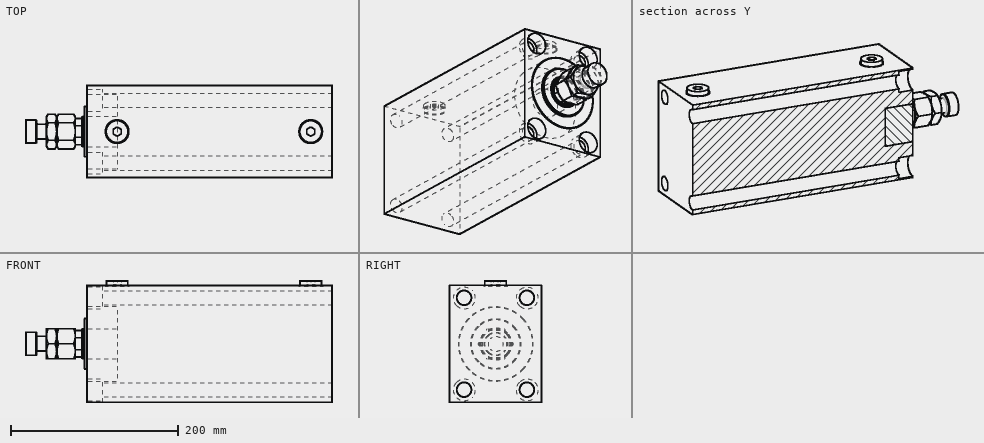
import cadquery as cq
import math


TOTAL_LENGTH = 366.0
FACE_X = 73.0
BLOCK_WIDTH = 110.0
BLOCK_HEIGHT = 139.8
TOP_EDGE_CHAMFER = 0.5

BOLT_SPACING_Y = 75.0
BOLT_SPACING_Z = 109.8
BOLT_HOLE_DIAMETER = 17.2
COUNTERBORE_DIAMETER = 26.0
COUNTERBORE_DEPTH = 18.3

GLAND_DIAMETER = 89.3
GLAND_DEPTH = 36.5
GLAND_EDGE_CHAMFER = 0.7
COLLAR_DIAMETER = 60.5
COLLAR_HEIGHT = 3.3
COLLAR_CHAMFER = 1.0
ROD_HOLE_CHAMFER = 1.0

ROD_DIAMETER = 36.2
ROD_FRONT_X = 59.3
FLATS_LENGTH = 7.7
FLATS_WIDTH = 32.0
FLATS_CORNER_DIAMETER = 34.8
SHOULDER_LENGTH = 1.5

HEAD_DIAMETER = 27.8
HEAD_LENGTH = 12.8
HEAD_CHAMFER = 0.7
NECK_DIAMETER = 18.0
NECK_FILLET = 1.0
HEX_FRONT_X = 24.5
HEX_GROOVE_X = 37.0
HEX_WIDTH = 36.2
HEX_END_DIAMETER = 35.5
HEX_CHAMFER_LENGTH = 2.2

PLUG_DIAMETER = 26.0
PLUG_HEIGHT = 5.0
PLUG_OFFSETS = (36.2, 267.5)
SPOTFACE_DIAMETER = 28.0
SPOTFACE_DEPTH = 1.0
SOCKET_WIDTH = 9.5
SOCKET_DEPTH = 3.5

HEX_POINTS = 6
TOP_Z = BLOCK_HEIGHT / 2


def across_corners(width_across_flats):
    return width_across_flats / math.cos(math.pi / HEX_POINTS)


def rod_axis_plane(x):
    """Plane across the rod axis at x: local x is +Y, local y is +Z, extrusion goes +X."""
    return cq.Workplane("YZ", origin=(x, 0, 0))


def cylinder(x_start, x_end, diameter):
    return rod_axis_plane(x_start).circle(diameter / 2).extrude(x_end - x_start)


def top_plane(offset, z):
    """Horizontal plane at height z, centred above the rod axis behind the front face."""
    return cq.Workplane("XY", origin=(FACE_X + offset, 0, z))


def make_housing():
    block = (
        rod_axis_plane(FACE_X)
        .rect(BLOCK_WIDTH, BLOCK_HEIGHT)
        .extrude(TOTAL_LENGTH - FACE_X)
        .faces(">Z").edges("|X").chamfer(TOP_EDGE_CHAMFER)
    )
    bolt_holes = (
        rod_axis_plane(FACE_X)
        .rect(BOLT_SPACING_Y, BOLT_SPACING_Z, forConstruction=True)
        .vertices()
    )
    through_holes = bolt_holes.circle(BOLT_HOLE_DIAMETER / 2).extrude(TOTAL_LENGTH - FACE_X)
    counterbores = bolt_holes.circle(COUNTERBORE_DIAMETER / 2).extrude(COUNTERBORE_DEPTH)
    gland_recess = cylinder(FACE_X, FACE_X + GLAND_DEPTH, GLAND_DIAMETER)
    housing = block.cut(through_holes).cut(counterbores).cut(gland_recess)
    for offset in PLUG_OFFSETS:
        spotface = (
            top_plane(offset, TOP_Z)
            .circle(SPOTFACE_DIAMETER / 2)
            .extrude(-SPOTFACE_DEPTH)
        )
        housing = housing.cut(spotface)
    return housing


def make_gland():
    disk = cylinder(FACE_X, FACE_X + GLAND_DEPTH, GLAND_DIAMETER)
    disk = disk.faces("<X").edges().chamfer(GLAND_EDGE_CHAMFER)
    collar = cylinder(FACE_X - COLLAR_HEIGHT, FACE_X, COLLAR_DIAMETER)
    collar = collar.faces("<X").edges().chamfer(COLLAR_CHAMFER)
    rod_hole = cylinder(FACE_X - COLLAR_HEIGHT, FACE_X + GLAND_DEPTH, ROD_DIAMETER)
    gland = disk.union(collar).cut(rod_hole)
    rod_hole_edge = gland.faces("<X").edges(cq.selectors.RadiusNthSelector(0))
    return rod_hole_edge.chamfer(ROD_HOLE_CHAMFER)


def make_rod():
    shoulder_x = ROD_FRONT_X + FLATS_LENGTH
    square = rod_axis_plane(ROD_FRONT_X).rect(FLATS_WIDTH, FLATS_WIDTH).extrude(FLATS_LENGTH)
    front_end = square.intersect(cylinder(ROD_FRONT_X, shoulder_x, FLATS_CORNER_DIAMETER))
    shoulder_rise = (ROD_DIAMETER - FLATS_CORNER_DIAMETER) / 2
    shank = cylinder(shoulder_x, FACE_X + GLAND_DEPTH, ROD_DIAMETER)
    shank = shank.faces("<X").edges().chamfer(SHOULDER_LENGTH, shoulder_rise)
    return front_end.union(shank)


def make_hexagon(x_start, x_end):
    """Hexagon with flats facing +Z and -Z, its corners chamfered at both ends."""
    corner_diameter = across_corners(HEX_WIDTH)
    prism = rod_axis_plane(x_start).polygon(HEX_POINTS, corner_diameter).extrude(x_end - x_start)
    end_radius = HEX_END_DIAMETER / 2
    corner_radius = corner_diameter / 2
    chamfered_envelope = (
        cq.Workplane("XY")
        .moveTo(x_start, 0)
        .lineTo(x_start, end_radius)
        .lineTo(x_start + HEX_CHAMFER_LENGTH, corner_radius)
        .lineTo(x_end - HEX_CHAMFER_LENGTH, corner_radius)
        .lineTo(x_end, end_radius)
        .lineTo(x_end, 0)
        .close()
        .revolve(360, (0, 0, 0), (1, 0, 0))
    )
    return prism.intersect(chamfered_envelope)


def make_coupling():
    head = cylinder(0, HEAD_LENGTH, HEAD_DIAMETER).faces(">X").edges().chamfer(HEAD_CHAMFER)
    neck_radius = NECK_DIAMETER / 2
    neck = (
        cq.Workplane("XY")
        .moveTo(HEAD_LENGTH, 0)
        .lineTo(HEAD_LENGTH, neck_radius + NECK_FILLET)
        .radiusArc((HEAD_LENGTH + NECK_FILLET, neck_radius), -NECK_FILLET)
        .lineTo(HEX_FRONT_X - NECK_FILLET, neck_radius)
        .radiusArc((HEX_FRONT_X, neck_radius + NECK_FILLET), -NECK_FILLET)
        .lineTo(HEX_FRONT_X, 0)
        .close()
        .revolve(360, (0, 0, 0), (1, 0, 0))
    )
    front_hexagon = make_hexagon(HEX_FRONT_X, HEX_GROOVE_X)
    rear_hexagon = make_hexagon(HEX_GROOVE_X, ROD_FRONT_X)
    return head.union(neck).union(front_hexagon).union(rear_hexagon)


def make_plug(offset):
    plug = (
        top_plane(offset, TOP_Z - SPOTFACE_DEPTH)
        .circle(PLUG_DIAMETER / 2)
        .extrude(SPOTFACE_DEPTH + PLUG_HEIGHT)
    )
    socket = (
        top_plane(offset, TOP_Z + PLUG_HEIGHT)
        .transformed(rotate=(0, 0, 90))
        .polygon(HEX_POINTS, across_corners(SOCKET_WIDTH))
        .extrude(-SOCKET_DEPTH)
    )
    return plug.cut(socket)


housing = make_housing()
gland = make_gland()
rod = make_rod()
coupling = make_coupling()
plugs = [make_plug(offset) for offset in PLUG_OFFSETS]

bodies = [housing, gland, rod, coupling, *plugs]
result = cq.Compound.makeCompound([body.solids().val() for body in bodies])